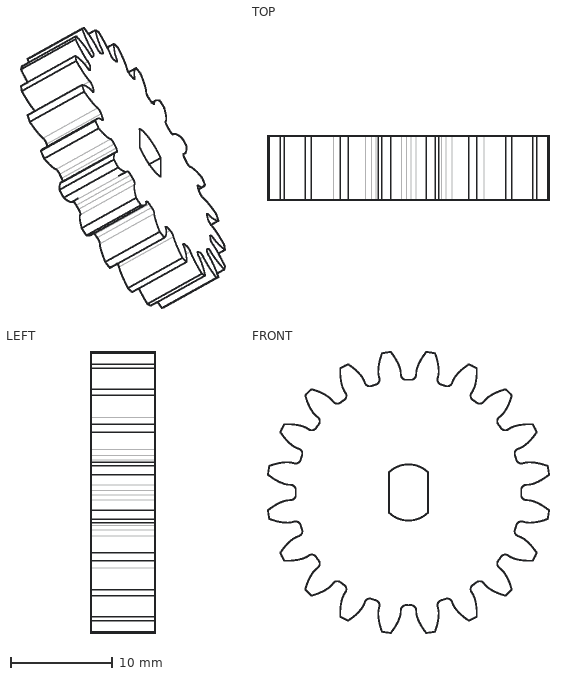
import cadquery as cq
import math

tooth_count = 20
tip_diameter = 27.95
face_width = 6.35
pressure_angle = math.radians(20)
root_fillet = 0.5

bore_diameter = 5.52
bore_flat_width = 3.83

dedendum_ratio = 1.25
module = tip_diameter / (tooth_count + 2)
tip_radius = tip_diameter / 2
pitch_radius = module * tooth_count / 2
root_radius = pitch_radius - dedendum_ratio * module
base_radius = pitch_radius * math.cos(pressure_angle)

tooth_pitch = 2 * math.pi / tooth_count
flank_points = 8


def involute(angle):
    return math.tan(angle) - angle


def polar(radius, angle):
    return (radius * math.cos(angle), radius * math.sin(angle))


def half_tooth_angle(radius):
    """Half of the angle a tooth spans at a radius on its involute flank."""
    local_pressure_angle = math.acos(base_radius / radius)
    return tooth_pitch / 4 + involute(pressure_angle) - involute(local_pressure_angle)


def involute_flank(center, side):
    """Points from base circle to tip; side is -1 or 1 for the two flanks of the tooth."""
    radial_step = (tip_radius - base_radius) / (flank_points - 1)
    radii = [base_radius + i * radial_step for i in range(flank_points - 1)] + [tip_radius]
    return [polar(r, center + side * half_tooth_angle(r)) for r in radii]


def root_corner(center, side):
    """Start, middle and end of the fillet from the root circle to the radial foot of the flank."""
    foot_angle = center + side * half_tooth_angle(base_radius)
    center_radius = root_radius + root_fillet
    fillet_angle = foot_angle + side * math.asin(root_fillet / center_radius)
    center_x, center_z = polar(center_radius, fillet_angle)
    start = polar(root_radius, fillet_angle)
    end = polar(math.sqrt(center_radius**2 - root_fillet**2), foot_angle)

    chord_x = (start[0] + end[0]) / 2 - center_x
    chord_z = (start[1] + end[1]) / 2 - center_z
    stretch = root_fillet / math.hypot(chord_x, chord_z)
    middle = (center_x + chord_x * stretch, center_z + chord_z * stretch)
    return start, middle, end


def add_tooth(outline, center):
    """Continue the outline over one tooth and along the root to the next tooth.

    Each flank is one smooth curve: the involute and its short, nearly radial foot below the base circle.
    """
    _, middle, foot = root_corner(center, -1)
    rising = involute_flank(center, -1)
    outline = outline.threePointArc(middle, foot).spline(rising, includeCurrent=True)

    falling = involute_flank(center, 1)[::-1]
    root_start, middle, foot = root_corner(center, 1)
    outline = outline.threePointArc(polar(tip_radius, center), falling[0])
    outline = outline.spline(falling[1:] + [foot], includeCurrent=True)
    outline = outline.threePointArc(middle, root_start)
    next_root_end = root_corner(center + tooth_pitch, -1)[0]
    return outline.threePointArc(polar(root_radius, center + tooth_pitch / 2), next_root_end)


def rear_face_plane():
    """Plane of the +Y face; extruding from it runs toward -Y, centering the gear on Y = 0."""
    return cq.Workplane("XZ", origin=(0, face_width / 2, 0))


def gear_blank():
    first_center = tooth_pitch / 2
    outline = rear_face_plane().moveTo(*root_corner(first_center, -1)[0])
    for i in range(tooth_count):
        outline = add_tooth(outline, first_center + i * tooth_pitch)
    return outline.close().extrude(face_width)


def double_d_bore():
    round_bore = rear_face_plane().circle(bore_diameter / 2).extrude(face_width)
    flats = cq.Workplane("XY").box(bore_flat_width, face_width, bore_diameter)
    return round_bore.intersect(flats)


result = gear_blank().cut(double_d_bore())